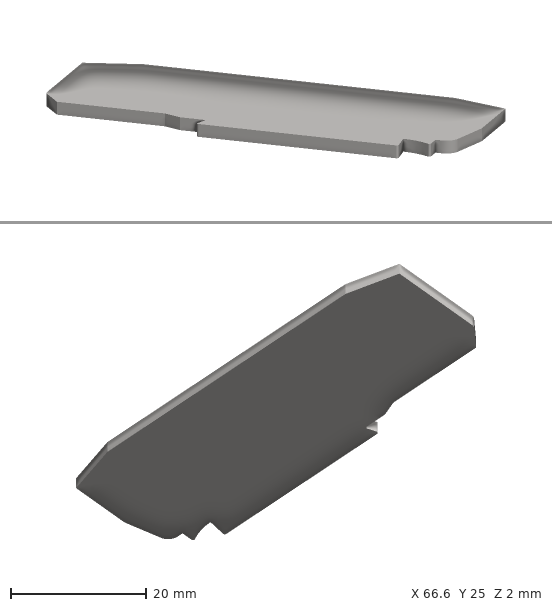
import cadquery as cq

length = 66.6
width = 25.0
thickness = 2.0

top_slope_length = 8.8
top_slope_drop = 2.4

left_ledge_y = 3.2
corner_run = 3.0
corner_rise = 3.5
corner_blend_radius = 1.2
ramp_start_x = 20.0
ramp_end_x = 22.7
foot_ledge_y = 2.2

foot_left_x = 26.0
foot_right_x = 57.9
undercut_x = 26.85
foot_corner_radius = 0.3
undercut_radius = 0.25

hook_root_x = 57.4
hook_root_y = 3.45
hook_arch_mid = (59.8, 3.1)
hook_tip_x = 62.1
hook_tip_y = 2.2
hook_tip_radius = 0.25

heel_y = 4.6
heel_end_x = 63.0
taper_start_x = 65.0
taper_start_y = 6.0
taper_end_y = 12.25

shoulder_y = width - top_slope_drop

outline = (
    cq.Workplane("XY")
    .moveTo(0, shoulder_y)
    .lineTo(0, left_ledge_y + corner_rise)
    .lineTo(corner_run, left_ledge_y)
    .lineTo(ramp_start_x, left_ledge_y)
    .lineTo(ramp_end_x, foot_ledge_y)
    .lineTo(undercut_x, foot_ledge_y)
    .lineTo(foot_left_x, 0)
    .lineTo(foot_right_x, 0)
    .lineTo(hook_root_x, hook_root_y)
    .threePointArc(hook_arch_mid, (hook_tip_x, hook_tip_y))
    .lineTo(hook_tip_x, heel_y)
    .lineTo(heel_end_x, heel_y)
    .tangentArcPoint((taper_start_x, taper_start_y), relative=False)
    .lineTo(length, taper_end_y)
    .lineTo(length, shoulder_y)
    .lineTo(length - top_slope_length, width)
    .lineTo(top_slope_length, width)
    .close()
)
plate = outline.extrude(thickness)


def round_corner(body, x, y, radius):
    """Round the upright edge of the plate that stands at (x, y)."""
    corner = cq.selectors.NearestToPointSelector((x, y, thickness / 2))
    return body.edges("|Z").edges(corner).fillet(radius)


plate = round_corner(plate, 0, left_ledge_y + corner_rise, corner_blend_radius)
plate = round_corner(plate, foot_left_x, 0, foot_corner_radius)
plate = round_corner(plate, foot_right_x, 0, foot_corner_radius)
plate = round_corner(plate, undercut_x, foot_ledge_y, undercut_radius)
plate = round_corner(plate, hook_tip_x, hook_tip_y, hook_tip_radius)

result = plate